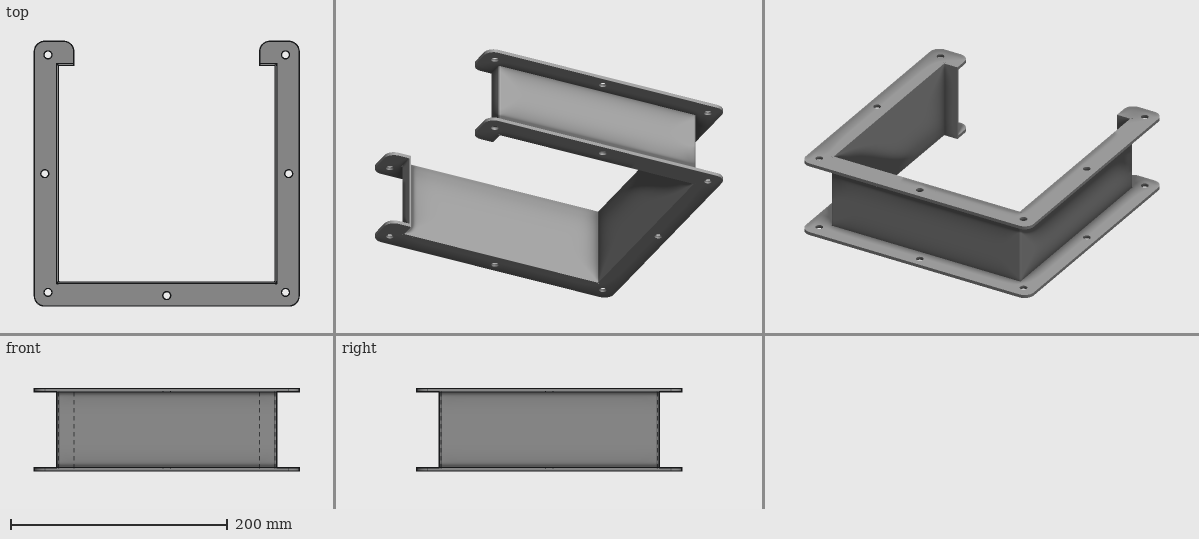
import cadquery as cq

outer_size = 244.5
total_height = 76.3

flange_width = 20.8
flange_thickness = 3.2
corner_radius = 9.8
open_side_reach = 36.7
hole_diameter = 7.0
corner_hole_inset = 12.7
middle_hole_inset = 9.8

wall_thickness = 1.7
bend_radius = 2.2

half_outer = outer_size / 2
wall_size = outer_size - 2 * flange_width
gap_width = outer_size - 2 * open_side_reach


def open_side_cut(height):
    """Block that removes the middle of the +Y side of a square ring."""
    return (
        cq.Workplane("XY")
        .center(0, half_outer / 2)
        .rect(gap_width, half_outer)
        .extrude(height)
    )


def make_flange(base_z):
    """C-shaped flat plate with rounded outer corners and seven screw holes."""
    plate = (
        cq.Workplane("XY")
        .rect(outer_size, outer_size)
        .rect(wall_size, wall_size)
        .extrude(flange_thickness)
        .cut(open_side_cut(flange_thickness))
    )

    for x in (half_outer, gap_width / 2):
        for side in (-1, 1):
            plate = plate.edges(cq.NearestToPointSelector((side * x, half_outer, flange_thickness / 2)))
            plate = plate.fillet(corner_radius)
    for side in (-1, 1):
        plate = plate.edges(cq.NearestToPointSelector((side * half_outer, -half_outer, flange_thickness / 2)))
        plate = plate.fillet(corner_radius)

    corner_offset = half_outer - corner_hole_inset
    middle_offset = half_outer - middle_hole_inset
    hole_centers = [(x, y) for x in (-corner_offset, corner_offset) for y in (-corner_offset, corner_offset)]
    hole_centers += [(-middle_offset, 0), (middle_offset, 0), (0, -middle_offset)]
    holes = (
        cq.Workplane("XY")
        .pushPoints(hole_centers)
        .circle(hole_diameter / 2)
        .extrude(flange_thickness)
    )
    return plate.cut(holes).translate((0, 0, base_z))


def make_wall():
    """Full-height sheet wall on three sides, with short returns on the open side."""
    inner_size = wall_size - 2 * wall_thickness
    shell = (
        cq.Workplane("XY")
        .rect(wall_size, wall_size)
        .extrude(total_height)
        .edges("|Z")
        .fillet(bend_radius)
    )
    cavity = cq.Workplane("XY").rect(inner_size, inner_size).extrude(total_height)
    cavity = cavity.edges("|Z").fillet(bend_radius - wall_thickness)
    return shell.cut(cavity).cut(open_side_cut(total_height))


wall = make_wall()
flanges = [make_flange(base_z) for base_z in (0, total_height - flange_thickness)]

result = cq.Compound.makeCompound([wall.val(), *[flange.val() for flange in flanges]])